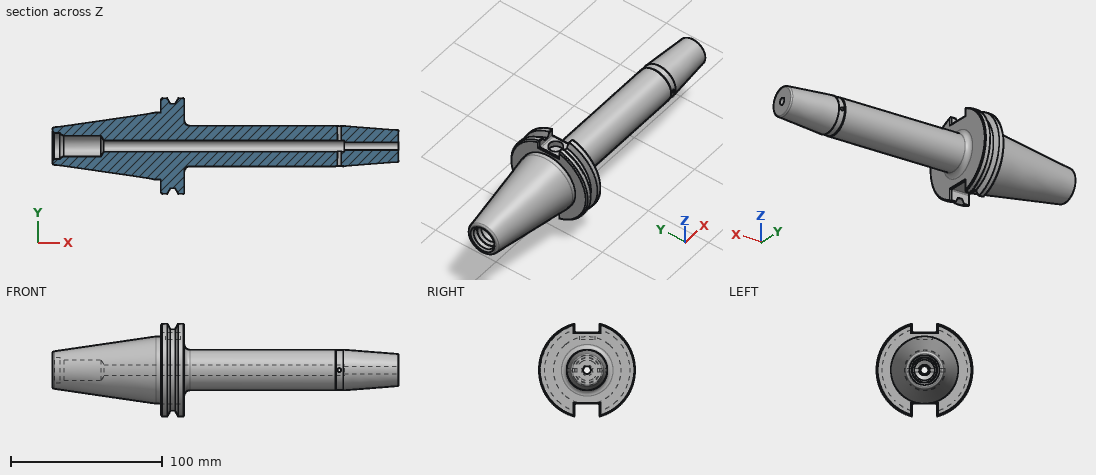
import cadquery as cq
import math


GAUGE_DIA = 44.45
TAPER_PER_LENGTH = 7 / 24
TAPER_LENGTH = 68.25
TAPER_END_FILLET = 1.5

FLANGE_DIA = 63.55
FLANGE_START = 3.2
FLANGE_END = 18.8
REAR_RIM_CHAMFER = 1.0
FRONT_RIM_CHAMFER = 0.7
GROOVE_CENTRE = 11.1
GROOVE_FLOOR_DIA = 56.25
GROOVE_MOUTH_WIDTH = 7.25
GROOVE_FLANK_ANGLE = 30

SLOT_WIDTH = 16.1
UPPER_SLOT_FLOOR = 25.0
LOWER_SLOT_FLOOR = 22.3
SLOT_CHAMFER = 1.0
SLOT_FLOOR_CHAMFER = 0.6
SLOT_RIM_CHAMFER = 0.45
SLOT_CORNER_FILLET = 0.7
CHIP_HOLE_DIA = 10.0
CHIP_HOLE_DEPTH = 4.6

NOSE_END = 160.0
BODY_DIA = 27.0
BODY_FILLET = 3.5
NOSE_CONE_LENGTH = 36.5
NOSE_CONE_ANGLE = 4.5
NOSE_FILLET = 1.0

RING_WIDTH = 5.2
RING_DEPTH = 0.25
RING_RAMP = 0.6
CROSS_HOLE_DIA = 2.4

PILOT_DIA = 17.0
PILOT_DEPTH = 5.0
PILOT_CHAMFER = 1.4
THREAD_MOUTH_DIA = 16.2
THREAD_MOUTH_LENGTH = 2.4
THREAD_DIA = 13.5
THREAD_DEPTH = 32.0
DRILL_POINT_ANGLE = 59
COOLANT_DIA = 7.2
TOOL_BORE_DIA = 5.0
TOOL_BORE_DEPTH = 36.0

TAPER_END = -TAPER_LENGTH
CONE_START = NOSE_END - NOSE_CONE_LENGTH
RING_START = CONE_START - RING_WIDTH


def make_body():
    """Revolve the outer profile of taper, flange, extension and nose."""
    gauge_r = GAUGE_DIA / 2
    taper_end_r = gauge_r - TAPER_LENGTH * TAPER_PER_LENGTH / 2
    flange_r = FLANGE_DIA / 2
    groove_r = GROOVE_FLOOR_DIA / 2
    mouth_half = GROOVE_MOUTH_WIDTH / 2
    floor_half = mouth_half - (flange_r - groove_r) * math.tan(math.radians(GROOVE_FLANK_ANGLE))
    body_r = BODY_DIA / 2
    ring_r = body_r - RING_DEPTH
    nose_r = body_r - NOSE_CONE_LENGTH * math.tan(math.radians(NOSE_CONE_ANGLE))
    fillet_mid = BODY_FILLET * (1 - math.sqrt(0.5))

    profile = (
        cq.Workplane("XZ")
        .moveTo(TAPER_END, 0)
        .lineTo(TAPER_END, taper_end_r)
        .lineTo(0, gauge_r)
        .lineTo(FLANGE_START, gauge_r)
        .lineTo(FLANGE_START, flange_r - REAR_RIM_CHAMFER)
        .lineTo(FLANGE_START + REAR_RIM_CHAMFER, flange_r)
        .lineTo(GROOVE_CENTRE - mouth_half, flange_r)
        .lineTo(GROOVE_CENTRE - floor_half, groove_r)
        .lineTo(GROOVE_CENTRE + floor_half, groove_r)
        .lineTo(GROOVE_CENTRE + mouth_half, flange_r)
        .lineTo(FLANGE_END - FRONT_RIM_CHAMFER, flange_r)
        .lineTo(FLANGE_END, flange_r - FRONT_RIM_CHAMFER)
        .lineTo(FLANGE_END, body_r + BODY_FILLET)
        .threePointArc(
            (FLANGE_END + fillet_mid, body_r + fillet_mid),
            (FLANGE_END + BODY_FILLET, body_r),
        )
        .lineTo(RING_START, body_r)
        .lineTo(RING_START + RING_RAMP, ring_r)
        .lineTo(CONE_START, ring_r)
        .lineTo(CONE_START, body_r)
        .lineTo(NOSE_END, nose_r)
        .lineTo(NOSE_END, 0)
        .close()
    )
    body = profile.revolve(360, (0, 0, 0), (1, 0, 0))
    body = body.faces("<X").edges().fillet(TAPER_END_FILLET)
    return body.faces(">X").edges().fillet(NOSE_FILLET)


def make_bores():
    """Stepped bore along the whole axis, as a solid to cut away."""
    pilot_r = PILOT_DIA / 2
    thread_r = THREAD_DIA / 2
    coolant_r = COOLANT_DIA / 2
    tool_r = TOOL_BORE_DIA / 2
    thread_end = TAPER_END + THREAD_DEPTH
    point_length = (thread_r - coolant_r) / math.tan(math.radians(DRILL_POINT_ANGLE))
    tool_bore_start = NOSE_END - TOOL_BORE_DEPTH
    pilot_end = TAPER_END + PILOT_DEPTH
    return (
        cq.Workplane("XZ")
        .moveTo(TAPER_END, 0)
        .lineTo(TAPER_END, pilot_r + PILOT_CHAMFER)
        .lineTo(TAPER_END + PILOT_CHAMFER, pilot_r)
        .lineTo(pilot_end, pilot_r)
        .lineTo(pilot_end, THREAD_MOUTH_DIA / 2)
        .lineTo(pilot_end + THREAD_MOUTH_LENGTH, thread_r)
        .lineTo(thread_end, thread_r)
        .lineTo(thread_end + point_length, coolant_r)
        .lineTo(tool_bore_start, coolant_r)
        .lineTo(tool_bore_start, tool_r)
        .lineTo(NOSE_END, tool_r)
        .lineTo(NOSE_END, 0)
        .close()
        .revolve(360, (0, 0, 0), (1, 0, 0))
    )


def make_slot(floor):
    """Drive slot open towards +Z, flared by a chamfer at both flange faces."""
    height = FLANGE_DIA / 2
    centre_z = floor + height / 2
    length = FLANGE_END - FLANGE_START
    slot = (
        cq.Workplane("YZ", origin=(FLANGE_START, 0, centre_z))
        .rect(SLOT_WIDTH, height)
        .extrude(length)
        .faces("<Z")
        .edges("|X")
        .fillet(SLOT_CORNER_FILLET)
    )
    flare_width = SLOT_WIDTH + 2 * SLOT_CHAMFER
    flare_height = height + 2 * SLOT_FLOOR_CHAMFER
    for face_x, inward in ((FLANGE_START, 1), (FLANGE_END, -1)):
        flare = (
            cq.Workplane("YZ", origin=(face_x, 0, centre_z))
            .rect(flare_width, flare_height)
            .workplane(offset=inward * SLOT_CHAMFER)
            .rect(SLOT_WIDTH, height)
            .loft(ruled=True)
        )
        slot = slot.union(flare)
    return slot.union(make_rim_flare(length))


def make_rim_flare(length):
    """Wedge that chamfers the two edges between the slot walls and the rim."""
    wall_y = SLOT_WIDTH / 2
    rim_y = wall_y + SLOT_RIM_CHAMFER
    rim_z = math.sqrt((FLANGE_DIA / 2) ** 2 - rim_y ** 2)
    rise = FLANGE_DIA / 2 - rim_z
    low_z = rim_z - SLOT_RIM_CHAMFER
    high_z = rim_z + rise
    return (
        cq.Workplane("YZ", origin=(FLANGE_START, 0, 0))
        .polyline([
            (-wall_y, low_z),
            (wall_y, low_z),
            (rim_y + rise, high_z),
            (-rim_y - rise, high_z),
        ])
        .close()
        .extrude(length)
    )


def make_chip_hole():
    """Blind round pocket in the floor of the upper slot."""
    bottom = UPPER_SLOT_FLOOR - CHIP_HOLE_DEPTH
    return (
        cq.Workplane("XY", origin=((FLANGE_START + FLANGE_END) / 2, 0, bottom))
        .circle(CHIP_HOLE_DIA / 2)
        .extrude(CHIP_HOLE_DEPTH)
    )


def make_cross_hole():
    """Small hole right through along Y, at the middle of the ring."""
    return (
        cq.Workplane("XZ", origin=(RING_START + RING_WIDTH / 2, 0, 0))
        .circle(CROSS_HOLE_DIA / 2)
        .extrude(BODY_DIA, both=True)
    )


upper_slot = make_slot(UPPER_SLOT_FLOOR)
lower_slot = make_slot(LOWER_SLOT_FLOOR).rotate((0, 0, 0), (1, 0, 0), 180)

result = (
    make_body()
    .cut(make_bores())
    .cut(upper_slot)
    .cut(lower_slot)
    .cut(make_chip_hole())
    .cut(make_cross_hole())
)